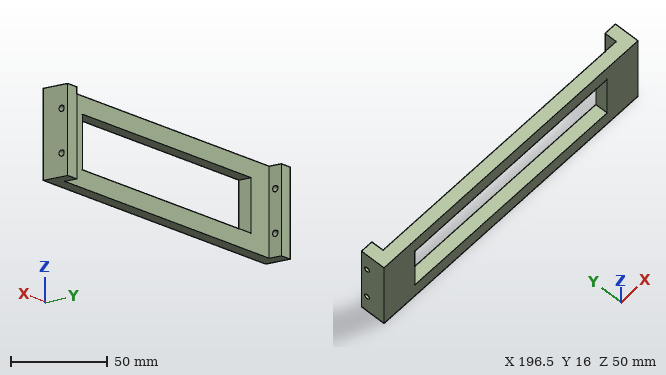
import cadquery as cq

length = 196.5
depth = 16.0
height = 50.0

plate_thickness = 8.0
window_length = 148.8
window_height = 30.0

tab_thickness = 8.0
hole_diameter = 3.3
hole_spacing = 24.2
tab_depth = depth - plate_thickness
hole_y = plate_thickness + tab_depth / 2


def box_from_front(size_x, size_y, size_z, y_start):
    """Box centred on X and Z, reaching back from y_start."""
    return cq.Workplane("XY").box(size_x, size_y, size_z, centered=(True, False, True)).translate(
        (0, y_start, 0)
    )


body = box_from_front(length, depth, height, 0)
body = body.cut(box_from_front(length - 2 * tab_thickness, tab_depth, height, plate_thickness))

body = body.cut(box_from_front(window_length, plate_thickness, window_height, 0))

holes = (
    cq.Workplane("YZ", origin=(-length / 2, 0, 0))
    .pushPoints([(hole_y, -hole_spacing / 2), (hole_y, hole_spacing / 2)])
    .circle(hole_diameter / 2)
    .extrude(length)
)

result = body.cut(holes)